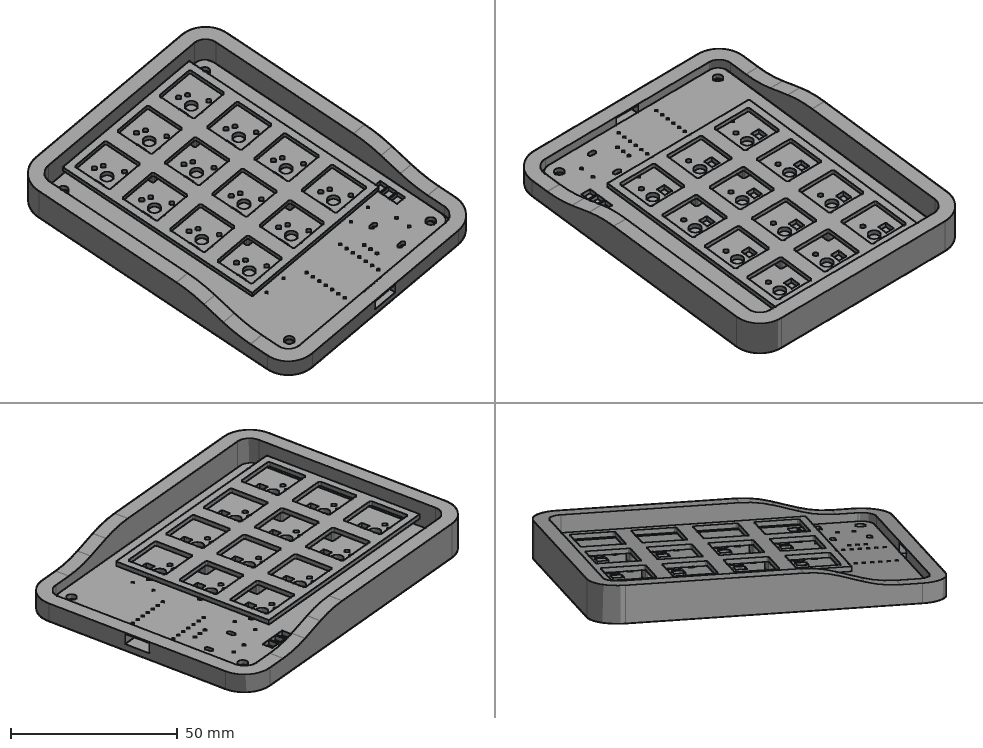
import cadquery as cq
LENGTH = 111.0
WIDTH = 85.0
HEIGHT = 12.0
LOW_HEIGHT = 6.3
WALL = 5.0
CORNER_RADIUS = 9.5
FLOOR = 2.3
SLOPE_START = 15.0
SLOPE_END = 33.5
SLOPE_RADIUS = 37.7
SLOPE_MARGIN = 1.1
SCREW_X = 45.2
SCREW_Y = 31.7
SCREW_DIAMETER = 2.9
USB_WIDTH = 9.0
USB_TOP = 5.9

BOARD_LENGTH = 99.5
BOARD_WIDTH = 72.7
BOARD_THICKNESS = 1.7
BOARD_CORNER_RADIUS = 4.0
BOARD_TOP = FLOOR + BOARD_THICKNESS
BOARD_HOLE_X = 45.4
BOARD_HOLE_Y = 32.0
BOARD_HOLE_DIAMETER = 3.2

KEY_COLUMNS = 4
KEY_ROWS = 3
KEY_PITCH = 76.1 / KEY_COLUMNS
GRID_X = -10.5
KEY_OPENING = 14.0
OPENING_CORNER_RADIUS = 0.5
SWITCH_OFFSET_Y = -0.2
STEM_DIAMETER = 4.0
PEG_DIAMETER = 1.7
PEG_X = 5.1
PIN_DIAMETER = 1.5
PIN_PLACES = [(-3.8, 2.5), (2.5, 5.0)]
LED_LONG = 3.5
LED_SHORT = 3.0
LED_OFFSET_Y = -4.8

PLATE_THICKNESS = 1.5
PLATE_TOP = 9.0
PLATE_BOTTOM = PLATE_TOP - PLATE_THICKNESS
POST_SIDE = KEY_PITCH - KEY_OPENING

STATUS_LED_X = 28.3
STATUS_LED_Y = 32.2
STATUS_LED_PITCH = 3.4
ENCODER_X = 39.4
ENCODER_Y = 19.1
ENCODER_PIN_DIAMETER = 1.0
ENCODER_PIN_PITCH = 2.5
ENCODER_SWITCH_Y = 7.0
ENCODER_SIGNAL_Y = -7.5
ENCODER_TAB_X = 5.7
ENCODER_TAB_LENGTH = 2.9
ENCODER_TAB_WIDTH = 1.5
CONTROLLER_X = 39.0
CONTROLLER_Y = -0.7
CONTROLLER_PINS = 7
CONTROLLER_PIN_PITCH = 2.5
CONTROLLER_ROW_SPACING = 15.2
CONTROLLER_PIN_DIAMETER = 0.9
DIODE_X = 27.6
DIODE_SPACING = 7.7
DIODE_OFFSET_Y = 0.7
DIODE_DIAMETER = 0.8

KEY_CENTRES = [
    (GRID_X + (column - (KEY_COLUMNS - 1) / 2) * KEY_PITCH, (row - (KEY_ROWS - 1) / 2) * KEY_PITCH)
    for column in range(KEY_COLUMNS)
    for row in range(KEY_ROWS)
]


def rounded_block(length, width, height, radius, bottom):
    block = cq.Workplane("XY", origin=(0, 0, bottom)).rect(length, width).extrude(height)
    return block.edges("|Z").fillet(radius)


def corners(x, y):
    return [(-x, -y), (-x, y), (x, -y), (x, y)]


def shifted(places, dx, dy):
    return [(x + dx, y + dy) for x, y in places]


def sloping_side():
    side = (
        cq.Workplane("XZ", origin=(0, WIDTH / 2, 0))
        .moveTo(-LENGTH / 2, 0)
        .lineTo(LENGTH / 2, 0)
        .lineTo(LENGTH / 2, LOW_HEIGHT)
        .lineTo(SLOPE_END, LOW_HEIGHT)
        .lineTo(SLOPE_START, HEIGHT)
        .lineTo(-LENGTH / 2, HEIGHT)
        .close()
        .extrude(WIDTH)
    )
    slope_ends = cq.selectors.BoxSelector(
        (SLOPE_START - SLOPE_MARGIN, -WIDTH, LOW_HEIGHT - SLOPE_MARGIN),
        (SLOPE_END + SLOPE_MARGIN, WIDTH, HEIGHT + SLOPE_MARGIN),
    )
    return side.edges("|Y").edges(slope_ends).fillet(SLOPE_RADIUS)


def make_housing():
    outline = rounded_block(LENGTH, WIDTH, HEIGHT, CORNER_RADIUS, 0)
    cavity = rounded_block(LENGTH - 2 * WALL, WIDTH - 2 * WALL, HEIGHT, CORNER_RADIUS - WALL, FLOOR)
    screw_holes = (
        cq.Workplane("XY")
        .pushPoints(corners(SCREW_X, SCREW_Y))
        .circle(SCREW_DIAMETER / 2)
        .extrude(FLOOR)
    )
    usb_slot = cq.Workplane("XY").box(2 * WALL, USB_WIDTH, USB_TOP - FLOOR, centered=(True, True, False))
    usb_slot = usb_slot.translate((LENGTH / 2 - WALL / 2, 0, FLOOR))
    return sloping_side().intersect(outline).cut(cavity).cut(screw_holes).cut(usb_slot)


def board_plane():
    return cq.Workplane("XY", origin=(0, 0, FLOOR))


def board_drill(places, diameter):
    return board_plane().pushPoints(places).circle(diameter / 2).extrude(BOARD_THICKNESS)


def board_window(places, length, width):
    return board_plane().pushPoints(places).rect(length, width).extrude(BOARD_THICKNESS)


def cut_switch_holes(board):
    for key_x, key_y in KEY_CENTRES:
        y = key_y + SWITCH_OFFSET_Y
        board = board.cut(board_drill([(key_x, y)], STEM_DIAMETER))
        board = board.cut(board_drill([(key_x - PEG_X, y), (key_x + PEG_X, y)], PEG_DIAMETER))
        board = board.cut(board_drill(shifted(PIN_PLACES, key_x, y), PIN_DIAMETER))
        board = board.cut(board_window([(key_x, y + LED_OFFSET_Y)], LED_LONG, LED_SHORT))
    return board


def cut_status_led_windows(board):
    places = [(STATUS_LED_X + n * STATUS_LED_PITCH, STATUS_LED_Y) for n in (-1, 0, 1)]
    return board.cut(board_window(places, LED_SHORT, LED_LONG))


def cut_encoder_holes(board):
    pins = [(n * ENCODER_PIN_PITCH, ENCODER_SIGNAL_Y) for n in (-1, 0, 1)]
    pins += [(n * ENCODER_PIN_PITCH, ENCODER_SWITCH_Y) for n in (-1, 1)]
    tabs = (
        board_plane()
        .pushPoints([(ENCODER_X - ENCODER_TAB_X, ENCODER_Y), (ENCODER_X + ENCODER_TAB_X, ENCODER_Y)])
        .slot2D(ENCODER_TAB_LENGTH, ENCODER_TAB_WIDTH, 90)
        .extrude(BOARD_THICKNESS)
    )
    return board.cut(board_drill(shifted(pins, ENCODER_X, ENCODER_Y), ENCODER_PIN_DIAMETER)).cut(tabs)


def cut_controller_holes(board):
    pins = [
        (
            CONTROLLER_X + (n - (CONTROLLER_PINS - 1) / 2) * CONTROLLER_PIN_PITCH,
            CONTROLLER_Y + side * CONTROLLER_ROW_SPACING / 2,
        )
        for n in range(CONTROLLER_PINS)
        for side in (-1, 1)
    ]
    return board.cut(board_drill(pins, CONTROLLER_PIN_DIAMETER))


def cut_diode_holes(board):
    places = [
        (DIODE_X, row * KEY_PITCH + DIODE_OFFSET_Y + side * DIODE_SPACING / 2)
        for row in (-1, 1)
        for side in (-1, 1)
    ]
    return board.cut(board_drill(places, DIODE_DIAMETER))


def make_board():
    board = rounded_block(BOARD_LENGTH, BOARD_WIDTH, BOARD_THICKNESS, BOARD_CORNER_RADIUS, FLOOR)
    board = board.cut(board_drill(corners(BOARD_HOLE_X, BOARD_HOLE_Y), BOARD_HOLE_DIAMETER))
    board = cut_switch_holes(board)
    board = cut_status_led_windows(board)
    board = cut_encoder_holes(board)
    board = cut_controller_holes(board)
    return cut_diode_holes(board)


def make_plate():
    plate = cq.Workplane("XY", origin=(GRID_X, 0, PLATE_BOTTOM))
    plate = plate.rect(KEY_COLUMNS * KEY_PITCH, KEY_ROWS * KEY_PITCH).extrude(PLATE_THICKNESS)
    opening = rounded_block(KEY_OPENING, KEY_OPENING, PLATE_THICKNESS, OPENING_CORNER_RADIUS, PLATE_BOTTOM)
    for key_x, key_y in KEY_CENTRES:
        plate = plate.cut(opening.translate((key_x, key_y, 0)))
    post = rounded_block(POST_SIDE, POST_SIDE, PLATE_BOTTOM - BOARD_TOP, OPENING_CORNER_RADIUS, BOARD_TOP)
    for post_x in (GRID_X - KEY_PITCH, GRID_X + KEY_PITCH):
        for post_y in (-KEY_PITCH / 2, KEY_PITCH / 2):
            plate = plate.union(post.translate((post_x, post_y, 0)))
    return plate


housing = make_housing()
board = make_board()
plate = make_plate()
result = cq.Compound.makeCompound([housing.val(), board.val(), plate.val()])